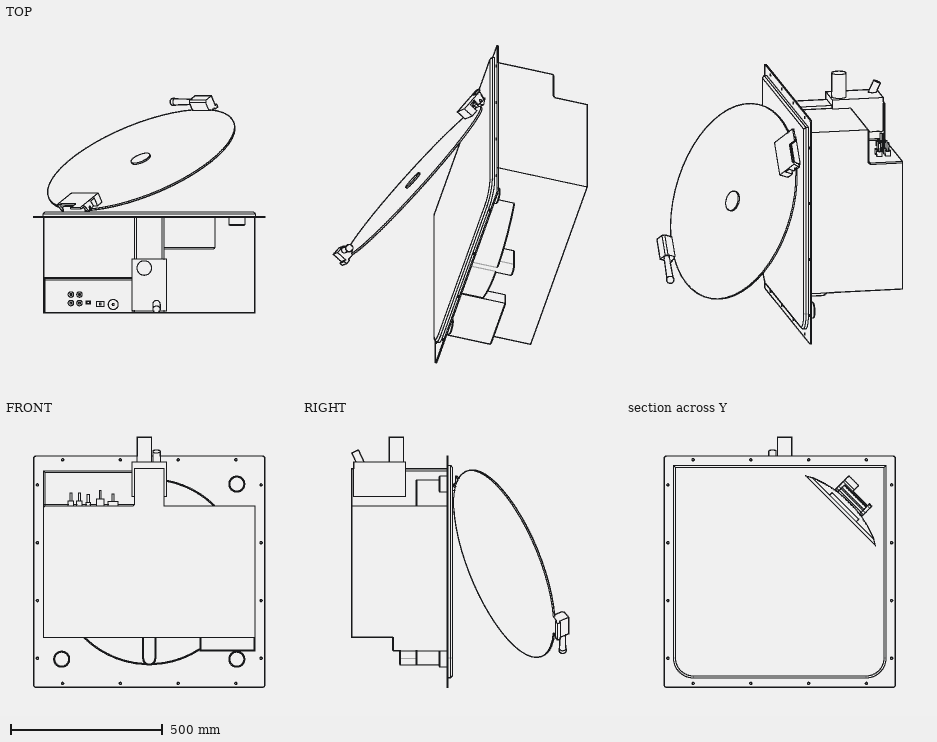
import cadquery as cq
import math


overall_height = 824.0

plate_size = 762.0
plate_thickness = 4.0
plate_corner_radius = 8.0
screw_hole_diameter = 7.0
screw_line = 368.0
screw_pitch = 190.0
screws_per_side = 4
frame_size = 700.5
frame_corner_radius = 66.0
frame_front = 19.0
frame_chamfer = 7.0

box_half_width = 348.0
box_half_height = 217.0
box_depth = 313.0
upper_block_top = 331.0
upper_block_depth = 200.0
notch_chamfer = 4.0

neck_half_width = 49.0
neck_top = 339.5
neck_chamfer = 7.5
filter_half_width = 57.0
filter_top = 362.0
filter_bottom = 247.0
filter_rear = 136.0
filter_front = 306.5

outlet_radius = 24.0
outlet_x = -16.5
outlet_y = -166.0
outlet_top = overall_height - plate_size / 2
inlet_radius = 12.0
inlet_x = 24.0
inlet_y = -286.0
inlet_length = 38.0
inlet_tilt = 25.0

drum_radius = 306.5
drum_depth = 102.0
duct_half_width = 21.5
duct_bottom = -308.0
duct_depth = 156.0
end_chamfer = 3.0
lower_block_left = 166.5
lower_block_bottom = -261.0
lower_block_depth = 178.0

knob_offset = 288.0
knob_radius = 26.0
knob_depth = 25.5
knob_chamfer = 3.0

jack_columns = (-258.0, -230.0)
jack_rows = (-253.0, -281.0)
jack_radius = 9.0
jack_height = 16.5
jack_pin_top = 43.0
pin_radius = 3.0
signal_position = (-201.0, -279.0)
signal_base = (14.0, 9.0, 11.5)
signal_pin = (9.0, 6.0, 38.0)
power_position = (-161.5, -284.0)
power_base = (25.5, 17.0, 23.0)
power_pin = (6.0, 6.0, 50.0)
socket_position = (-119.0, -286.0)
socket_radius = 16.5
socket_height = 15.0
socket_pin_top = 39.5

opening_angle = 30.0
hinge_distance = 339.0
hinge_height = 35.0
disc_radius = 330.0
disc_thickness = 6.0
disc_middle = -16.5
disc_outer = disc_middle + disc_thickness / 2
disc_inner = disc_middle - disc_thickness / 2
hub_radius = 33.0
hub_height = 5.0

bracket_width = 124.5
bracket_top = 21.5
bracket_plate_thickness = 6.0
bracket_start = -13.0
bracket_end = 57.0
bracket_leg_thickness = 24.0
stop_tab_reach = 27.0
stop_tab_width = 45.0
lug_thickness = 11.5
lug_top_start = -21.0
lug_top_end = 11.5
lug_bottom_start = -11.5
lug_bottom_end = 16.5
lug_start_bottom = -7.5
lug_end_bottom = -5.0
hinge_block_start = -12.0
hinge_block_end = 11.0
hinge_block_rise = 2.5
hinge_pin_radius = 3.0

handle_start = 660.0
handle_end = 695.0
handle_top = 23.0
handle_width = 77.0
handle_chamfer = 7.0
catch_reach = 7.5
catch_bottom = -24.0
catch_top = -13.0
lever_x = 674.0
lever_z = 11.5
lever_root_radius = 8.0
lever_tip_radius = 11.0
lever_end = 125.0
lever_ball_radius = 12.0


def block(x_range, y_range, z_range):
    """Box given by its limits along each axis."""
    limits = (x_range, y_range, z_range)
    size = [high - low for low, high in limits]
    corner = cq.Vector(*[low for low, high in limits])
    return cq.Workplane(cq.Solid.makeBox(*size, corner))


def rear_workplane():
    """Sketch plane on the plate's rear face: x is X, y is Z and extrusion goes to -Y."""
    return cq.Workplane("XZ")


def hinge_location(angle):
    """Hinge frame turned open by the angle; it sits at the upper left, on the plate diagonal."""
    diagonal = math.sqrt(0.5)
    across = math.cos(math.radians(angle))
    outward = math.sin(math.radians(angle))
    origin = (-hinge_distance * diagonal, hinge_height, hinge_distance * diagonal)
    x_direction = (across * diagonal, outward, -across * diagonal)
    normal = (-outward * diagonal, across, outward * diagonal)
    return cq.Location(cq.Plane(origin, x_direction, normal))


def mounting_plate():
    plate = rear_workplane().rect(plate_size, plate_size).extrude(-plate_thickness)
    plate = plate.edges("|Y").fillet(plate_corner_radius)
    middle = (screws_per_side - 1) / 2
    spots = []
    for index in range(screws_per_side):
        along = (index - middle) * screw_pitch
        for side in (-screw_line, screw_line):
            spots += [(along, side), (side, along)]
    holes = rear_workplane().pushPoints(spots).circle(screw_hole_diameter / 2).extrude(-plate_thickness)
    return plate.cut(holes)


def frame():
    body = rear_workplane().rect(frame_size, frame_size).extrude(-frame_front)
    body = body.edges("|Y and <Z").fillet(frame_corner_radius)
    return body.faces(">Y").edges().chamfer(frame_chamfer)


def neck():
    body = block((-neck_half_width, neck_half_width), (-filter_rear, 0), (0, neck_top))
    body = body.faces(">Z").edges("|Y").chamfer(neck_chamfer)
    front = block((-neck_half_width, neck_half_width), (-box_depth, -filter_rear), (0, neck_top))
    return body.union(front)


def enclosure():
    """Main box with a taller block at its upper left and a neck; the notch between them is chamfered."""
    body = block((-box_half_width, box_half_width), (-box_depth, 0), (-box_half_height, box_half_height))
    upper_block = block((-box_half_width, 0), (-upper_block_depth, 0), (0, upper_block_top))
    body = body.union(upper_block).union(neck())
    notch_centre_x = -(box_half_width + neck_half_width) / 2
    notch_centre_y = -(box_depth + upper_block_depth) / 2
    notch_centre_z = (upper_block_top + box_half_height) / 2
    notch_edges = [
        (notch_centre_x, -upper_block_depth, upper_block_top),
        (notch_centre_x, -upper_block_depth, box_half_height),
        (-box_half_width, -upper_block_depth, notch_centre_z),
        (-box_half_width, notch_centre_y, box_half_height),
        (-neck_half_width, notch_centre_y, box_half_height),
    ]
    edges = cq.Workplane()
    for point in notch_edges:
        edges = edges.add(body.edges(cq.selectors.NearestToPointSelector(point)).vals())
    return cq.Workplane(body.val().chamfer(notch_chamfer, None, edges.vals()))


def filter_housing():
    body = block(
        (-filter_half_width, filter_half_width),
        (-filter_front, -filter_rear),
        (filter_bottom, filter_top),
    )
    outlet = cq.Workplane("XY").center(outlet_x, outlet_y).circle(outlet_radius).extrude(outlet_top)
    inlet = cq.Workplane("XY").circle(inlet_radius).extrude(2 * inlet_length)
    inlet = inlet.translate((0, 0, -inlet_length))
    inlet = inlet.rotate((0, 0, 0), (1, 0, 0), inlet_tilt).translate((inlet_x, inlet_y, filter_top))
    return body.union(outlet).union(inlet)


def drum():
    return rear_workplane().circle(drum_radius).extrude(drum_depth).faces("<Y").edges().chamfer(end_chamfer)


def drain_duct():
    """Flat duct with a round lower end."""
    round_centre = duct_bottom + duct_half_width
    outline = (
        rear_workplane()
        .moveTo(-duct_half_width, 0)
        .lineTo(-duct_half_width, round_centre)
        .threePointArc((0, duct_bottom), (duct_half_width, round_centre))
        .lineTo(duct_half_width, 0)
        .close()
    )
    return outline.extrude(duct_depth).faces("<Y").edges().chamfer(end_chamfer)


def lower_block():
    body = block((lower_block_left, box_half_width), (-lower_block_depth, 0), (lower_block_bottom, 0))
    return body.faces("<Y").edges().chamfer(end_chamfer)


def knobs():
    spots = [(-knob_offset, -knob_offset), (knob_offset, -knob_offset), (knob_offset, knob_offset)]
    bodies = rear_workplane().pushPoints(spots).circle(knob_radius).extrude(knob_depth)
    return bodies.faces("<Y").edges().chamfer(knob_chamfer)


def floor_workplane(position):
    return cq.Workplane("XY", origin=(position[0], position[1], box_half_height))


def round_connector(position, radius, height, pin_top):
    base = floor_workplane(position).circle(radius).extrude(height)
    return base.union(floor_workplane(position).circle(pin_radius).extrude(pin_top))


def square_connector(position, base_size, pin_size):
    base = floor_workplane(position).rect(base_size[0], base_size[1]).extrude(base_size[2])
    return base.union(floor_workplane(position).rect(pin_size[0], pin_size[1]).extrude(pin_size[2]))


def connectors():
    parts = [
        round_connector((x, y), jack_radius, jack_height, jack_pin_top)
        for x in jack_columns
        for y in jack_rows
    ]
    parts.append(square_connector(signal_position, signal_base, signal_pin))
    parts.append(square_connector(power_position, power_base, power_pin))
    parts.append(round_connector(socket_position, socket_radius, socket_height, socket_pin_top))
    return parts


def hinge_pin():
    """Pin along the hinge axis, flush with both lugs."""
    return cq.Workplane("XZ").circle(hinge_pin_radius).extrude(bracket_width / 2, both=True)


def fixed_hinge():
    """Block on the frame that fills the space between the door's lugs and carries the pin."""
    half_width = bracket_width / 2 - lug_thickness
    body = block(
        (hinge_block_start, hinge_block_end),
        (-half_width, half_width),
        (frame_front - hinge_height, hinge_block_rise),
    )
    body = body.union(hinge_pin())
    return cq.Workplane(body.val().moved(hinge_location(0)))


def door_disc():
    disc = cq.Workplane("XY", origin=(hinge_distance, 0, disc_inner)).circle(disc_radius)
    disc = disc.extrude(disc_thickness)
    hub = cq.Workplane("XY", origin=(hinge_distance, 0, disc_outer)).circle(hub_radius).extrude(hub_height)
    return disc.union(hub)


def hinge_bracket():
    """Raised plate on a leg, with a stop tab at one end and two lugs around the pin."""
    half_width = bracket_width / 2
    plate_bottom = bracket_top - bracket_plate_thickness
    across = (-half_width, half_width)
    body = block((bracket_start, bracket_end), across, (plate_bottom, bracket_top))
    leg = block((bracket_end - bracket_leg_thickness, bracket_end), across, (disc_middle, bracket_top))
    stop_tab = block(
        (bracket_start - stop_tab_reach, bracket_start),
        (-half_width, stop_tab_width - half_width),
        (plate_bottom, bracket_top),
    )
    body = body.union(leg).union(stop_tab)
    lug_outline = [
        (lug_top_start, bracket_top),
        (lug_bottom_start, lug_start_bottom),
        (lug_bottom_end, lug_end_bottom),
        (lug_top_end, bracket_top),
    ]
    for start in (-half_width + lug_thickness, half_width):
        lug = cq.Workplane("XZ", origin=(0, start, 0)).polyline(lug_outline).close().extrude(lug_thickness)
        body = body.union(lug)
    return body.cut(hinge_pin())


def handle():
    """Block on the door's rim with a catch below and a ball-ended lever to one side."""
    half_width = handle_width / 2
    across = (-half_width, half_width)
    body = block((handle_start, handle_end), across, (disc_inner, handle_top))
    body = body.edges("<X and >Z").chamfer(handle_chamfer)
    catch = block((handle_end - catch_reach, handle_end + catch_reach), across, (catch_bottom, catch_top))
    root = cq.Vector(lever_x, 0, lever_z)
    lever = cq.Solid.makeCone(lever_root_radius, lever_tip_radius, lever_end, root, cq.Vector(0, 1, 0))
    ball = cq.Workplane("XY", origin=(lever_x, lever_end, lever_z)).sphere(lever_ball_radius)
    return body.union(catch).union(cq.Workplane(lever)).union(ball)


def make_housing():
    parts = [frame(), enclosure(), filter_housing(), drum(), drain_duct(), lower_block(), knobs()]
    parts += connectors()
    parts.append(fixed_hinge())
    body = mounting_plate()
    for part in parts:
        body = body.union(part)
    return body


def make_door():
    flat = door_disc().union(hinge_bracket()).union(handle())
    return cq.Workplane(flat.val().moved(hinge_location(opening_angle)))


housing = make_housing()
door = make_door()
result = cq.Compound.makeCompound([*housing.vals(), *door.vals()])